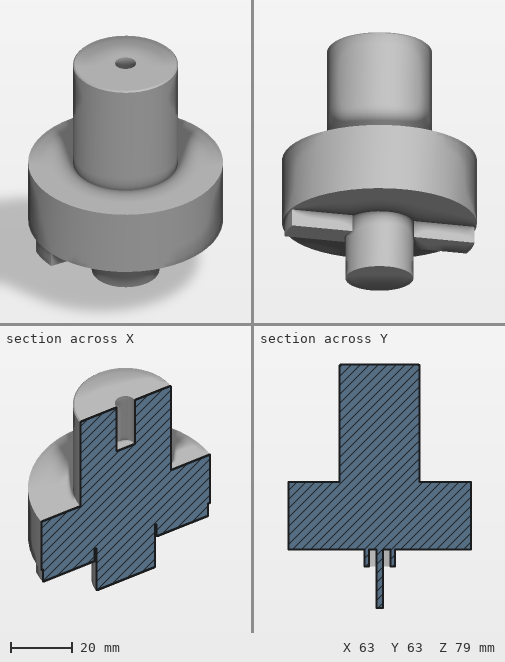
import cadquery as cq

total_height = 79.0
spigot_length = 19.0
flange_thickness = 22.0
flange_top = spigot_length + flange_thickness
shank_length = total_height - flange_top

flange_diameter = 63.05
shank_diameter = 34.0
spigot_diameter = 22.0

shank_chamfer = 0.5

hole_diameter = 6.8
hole_depth = 19.75

key_width = 9.95
key_height = 5.5
key_outer_diameter = 61.8
key_inner_diameter = 22.9


def cylinder(diameter, length, base):
    return cq.Workplane("XY").workplane(offset=base).circle(diameter / 2).extrude(length)


spigot = cylinder(spigot_diameter, spigot_length, 0)
flange = cylinder(flange_diameter, flange_thickness, spigot_length)
shank = cylinder(shank_diameter, shank_length, flange_top).faces(">Z").chamfer(shank_chamfer)

key_base = spigot_length - key_height
key_ring = cylinder(key_outer_diameter, key_height, key_base).cut(
    cylinder(key_inner_diameter, key_height, key_base)
)
key_band = (
    cq.Workplane("XY")
    .workplane(offset=key_base)
    .rect(key_width, key_outer_diameter)
    .extrude(key_height)
)
keys = key_ring.intersect(key_band)

hole = cylinder(hole_diameter, hole_depth, total_height - hole_depth)

result = flange.union(shank).union(spigot).union(keys).cut(hole)